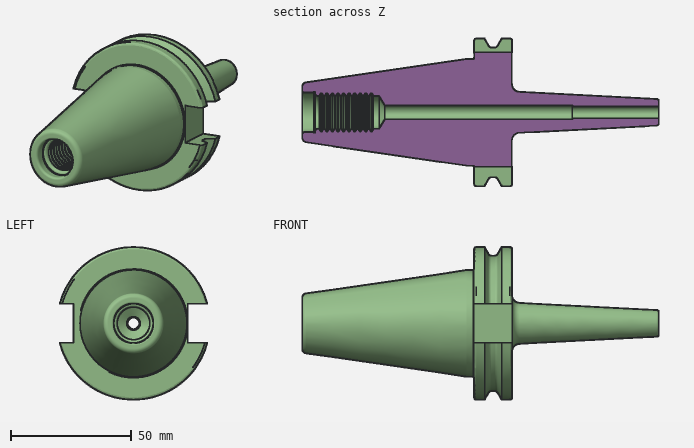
import cadquery as cq
import math

taper_length = 68.25
nose_end = 80.0
flange_start = 3.175
flange_end = 19.05

gauge_diameter = 44.45
taper_rate = 7 / 24
shank_end_fillet = 2.0
shank_root_fillet = 0.4

flange_diameter = 63.5
flange_edge_fillet = 1.0
groove_center = 11.1
groove_floor_diameter = 56.36
groove_floor_width = 2.95
groove_half_angle = 30.0
groove_floor_fillet = 1.15
slot_width = 16.1
slot_floor_plus_y = 25.0
slot_floor_minus_y = 22.6

nose_tip_diameter = 11.1
nose_half_angle = 3.0
nose_root_fillet = 3.0
nose_tip_fillet = 1.0

pilot_diameter = 16.3
pilot_mouth_fillet = 1.0
pilot_depth = 4.8
relief_diameter = 16.8
relief_depth = 5.4
thread_diameter = 15.88
thread_core_diameter = 13.54
thread_pitch = 25.4 / 11
thread_crest_width = thread_pitch / 4
thread_root_width = thread_pitch / 8
thread_groove_count = 10
drill_half_angle = 59.0
clearance_diameter = 5.6
tool_diameter = 4.76
tool_depth = 36.0

shank_end = -taper_length
flange_radius = flange_diameter / 2
nose_length = nose_end - flange_end
nose_tip_radius = nose_tip_diameter / 2
nose_root_radius = nose_tip_radius + nose_length * math.tan(math.radians(nose_half_angle))
match_tolerance = 1e-3


def revolve_about_x(profile):
    """Close a half profile on the X axis and revolve it fully."""
    return profile.close().revolve(360, (0, 0, 0), (1, 0, 0))


def circles_at(solid, positions):
    """Select the circular edges centred on X at the given axial positions."""
    edges = [
        edge
        for edge in solid.edges("%CIRCLE").vals()
        if any(abs(edge.Center().x - x) < match_tolerance for x in positions)
    ]
    return solid.newObject(edges)


def fillet_ring(solid, position, radius, fillet_radius):
    """Round the circular edge of the given radius centred on X at the given position."""
    edges = [
        edge
        for edge in circles_at(solid, [position]).vals()
        if abs(edge.radius() - radius) < match_tolerance
    ]
    return solid.newObject(edges).fillet(fillet_radius)


def make_shank():
    gauge_radius = gauge_diameter / 2
    end_radius = gauge_radius - taper_length * taper_rate / 2
    shank = revolve_about_x(
        cq.Workplane("XY")
        .moveTo(shank_end, 0)
        .lineTo(shank_end, end_radius)
        .lineTo(0, gauge_radius)
        .lineTo(flange_start, gauge_radius)
        .lineTo(flange_start, 0)
    )
    return circles_at(shank, [shank_end]).fillet(shank_end_fillet)


def make_flange():
    floor_radius = groove_floor_diameter / 2
    floor_half = groove_floor_width / 2
    flank_run = (flange_radius - floor_radius) * math.tan(math.radians(groove_half_angle))
    rim_half = floor_half + flank_run
    flange = revolve_about_x(
        cq.Workplane("XY")
        .moveTo(flange_start, 0)
        .lineTo(flange_start, flange_radius)
        .lineTo(groove_center - rim_half, flange_radius)
        .lineTo(groove_center - floor_half, floor_radius)
        .lineTo(groove_center + floor_half, floor_radius)
        .lineTo(groove_center + rim_half, flange_radius)
        .lineTo(flange_end, flange_radius)
        .lineTo(flange_end, 0)
    )
    flange = circles_at(flange, [flange_start, flange_end]).fillet(flange_edge_fillet)
    floor_corners = [groove_center - floor_half, groove_center + floor_half]
    return circles_at(flange, floor_corners).fillet(groove_floor_fillet)


def make_drive_slot(floor_distance, side):
    """Block that cuts a drive slot; side is +1 or -1 along Y."""
    depth = flange_radius - floor_distance
    middle = (flange_start + flange_end) / 2
    block = cq.Workplane("XY").box(flange_end - flange_start, depth, slot_width)
    return block.translate((middle, side * (floor_distance + depth / 2), 0))


def make_nose():
    nose = revolve_about_x(
        cq.Workplane("XY")
        .moveTo(flange_end, 0)
        .lineTo(flange_end, nose_root_radius)
        .lineTo(nose_end, nose_tip_radius)
        .lineTo(nose_end, 0)
    )
    return circles_at(nose, [nose_end]).fillet(nose_tip_fillet)


def make_bore():
    pilot_radius = pilot_diameter / 2
    relief_end = shank_end + relief_depth
    root_radius = thread_diameter / 2
    core_radius = thread_core_diameter / 2
    thread_height = root_radius - core_radius
    crest_start = relief_end + thread_height
    clearance_radius = clearance_diameter / 2
    flank_run = (thread_pitch - thread_crest_width - thread_root_width) / 2
    cone_length = (core_radius - clearance_radius) / math.tan(math.radians(drill_half_angle))

    profile = (
        cq.Workplane("XY")
        .moveTo(shank_end, 0)
        .lineTo(shank_end, pilot_radius + pilot_mouth_fillet)
        .radiusArc((shank_end + pilot_mouth_fillet, pilot_radius), -pilot_mouth_fillet)
        .lineTo(shank_end + pilot_depth, pilot_radius)
        .lineTo(shank_end + pilot_depth, relief_diameter / 2)
        .lineTo(relief_end, relief_diameter / 2)
        .lineTo(relief_end, root_radius)
        .radiusArc((crest_start, core_radius), -thread_height)
    )
    for groove in range(thread_groove_count):
        groove_start = crest_start + thread_crest_width + groove * thread_pitch
        groove_end = groove_start + thread_root_width + 2 * flank_run
        profile = (
            profile.lineTo(groove_start, core_radius)
            .lineTo(groove_start + flank_run, root_radius)
            .lineTo(groove_end - flank_run, root_radius)
            .lineTo(groove_end, core_radius)
        )
    core_end = crest_start + (thread_groove_count + 1) * thread_pitch
    tool_start = nose_end - tool_depth
    return revolve_about_x(
        profile.lineTo(core_end, core_radius)
        .lineTo(core_end + cone_length, clearance_radius)
        .lineTo(tool_start, clearance_radius)
        .lineTo(tool_start, tool_diameter / 2)
        .lineTo(nose_end, tool_diameter / 2)
        .lineTo(nose_end, 0)
    )


body = make_shank().union(make_flange()).union(make_nose())
body = fillet_ring(body, flange_start, gauge_diameter / 2, shank_root_fillet)
body = fillet_ring(body, flange_end, nose_root_radius, nose_root_fillet)
body = body.cut(make_drive_slot(slot_floor_plus_y, 1))
body = body.cut(make_drive_slot(slot_floor_minus_y, -1))
result = body.cut(make_bore())